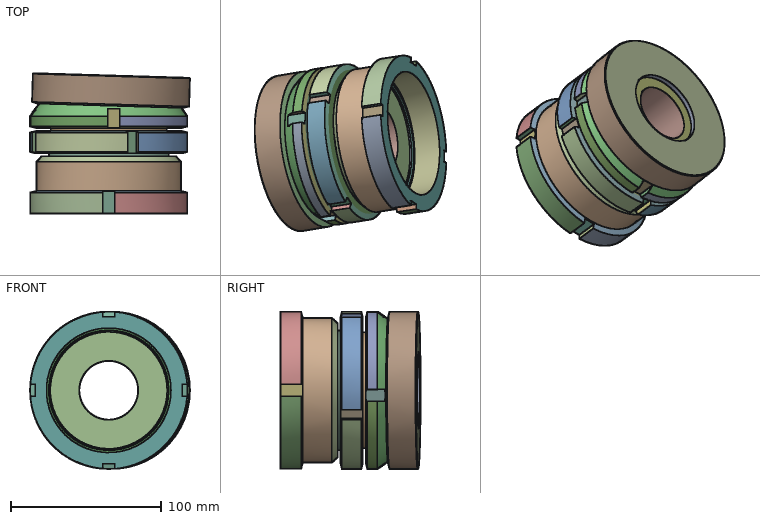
import cadquery as cq
import math


rim_radius = 52.5
rim_height = 15.0
edge_fall = 1.1
edge_width = edge_fall / math.tan(math.radians(15))
thread_radius = 40.0

slot_count = 4
slot_width = 8.0
ring_slot_width = 7.0
slot_depth = 3.5
ring_slot_angle = 18.0
spindle_slot_angle = 3.8

base_height = 38.3
base_body_radius = 48.2
base_cone_start = 34.5
base_top_radius = 44.7
counterbore_radius = 41.5
counterbore_depth = 18.2
lip_radius = 38.9
lip_chamfer = thread_radius - lip_radius
spindle_start = 20.6

ring_start = 40.0
ring_end = ring_start + rim_height

bore_radius = 19.5
relief_radius = 38.7
flange_start = 57.0
flange_end = 64.6
dome_radius = 61.2
dome_center = flange_end - math.sqrt(dome_radius**2 - rim_radius**2)
dome_top = 87.3

washer_start = 71.8
washer_end = 92.1
washer_edge_chamfer = 0.5
washer_bore_radius = 25.6
washer_tilt = 1.7


def dome_height(radius):
    """Y position of the dome surface at a given radius."""
    return dome_center + math.sqrt(dome_radius**2 - radius**2)


def dome_width(height):
    """Radius of the dome surface at a given Y position."""
    return math.sqrt(dome_radius**2 - (height - dome_center) ** 2)


def dome_point(start, end):
    """Point on the dome, halfway in height between two Y positions."""
    middle = (start + end) / 2
    return (dome_width(middle), middle)


def spin(profile):
    """Revolve a closed (radius, Y) profile around the Y axis."""
    return profile.close().revolve(360, (0, 0, 0), (0, 1, 0))


def cut_slots(body, start, end, turn, width):
    """Cut the spanner slots into a rim between two Y positions."""
    floor_radius = rim_radius - slot_depth
    slot = cq.Workplane("XY").box(
        width, end - start, 2 * slot_depth, centered=(True, False, False)
    ).translate((0, start, floor_radius))
    for index in range(slot_count):
        angle = turn + index * 360 / slot_count
        body = body.cut(slot.rotate((0, 0, 0), (0, 1, 0), angle))
    return body


def make_base():
    profile = (
        cq.Workplane("XY")
        .moveTo(counterbore_radius, 0)
        .lineTo(rim_radius, 0)
        .lineTo(rim_radius, rim_height - edge_fall)
        .lineTo(base_body_radius, rim_height)
        .lineTo(base_body_radius, base_cone_start)
        .lineTo(base_top_radius, base_height)
        .lineTo(thread_radius, base_height)
        .lineTo(thread_radius, spindle_start)
        .lineTo(lip_radius, spindle_start)
        .lineTo(lip_radius, counterbore_depth + lip_chamfer)
        .lineTo(thread_radius, counterbore_depth)
        .lineTo(counterbore_radius, counterbore_depth)
    )
    return cut_slots(spin(profile), 0, rim_height, 0, slot_width)


def make_lock_ring():
    profile = (
        cq.Workplane("XY")
        .moveTo(thread_radius, ring_start)
        .lineTo(rim_radius - edge_width, ring_start)
        .lineTo(rim_radius, ring_start + edge_fall)
        .lineTo(rim_radius, ring_end - edge_fall)
        .lineTo(rim_radius - edge_width, ring_end)
        .lineTo(thread_radius, ring_end)
    )
    return cut_slots(spin(profile), ring_start, ring_end, ring_slot_angle, ring_slot_width)


def make_spindle():
    profile = (
        cq.Workplane("XY")
        .moveTo(bore_radius, spindle_start)
        .lineTo(thread_radius, spindle_start)
        .lineTo(thread_radius, ring_end)
        .lineTo(relief_radius, ring_end)
        .lineTo(relief_radius, flange_start)
        .lineTo(rim_radius - edge_width, flange_start)
        .lineTo(rim_radius, flange_start + edge_fall)
        .lineTo(rim_radius, flange_end)
        .threePointArc(dome_point(flange_end, dome_top), (dome_width(dome_top), dome_top))
        .lineTo(bore_radius, dome_top)
    )
    return cut_slots(spin(profile), flange_start, washer_start, spindle_slot_angle, slot_width)


def make_washer():
    seat_end = dome_height(washer_bore_radius)
    profile = (
        cq.Workplane("XY")
        .moveTo(dome_width(washer_start), washer_start)
        .lineTo(rim_radius - edge_width, washer_start)
        .lineTo(rim_radius, washer_start + edge_fall)
        .lineTo(rim_radius, washer_end - washer_edge_chamfer)
        .lineTo(rim_radius - washer_edge_chamfer, washer_end)
        .lineTo(washer_bore_radius, washer_end)
        .lineTo(washer_bore_radius, seat_end)
        .threePointArc(dome_point(washer_start, seat_end), (dome_width(washer_start), washer_start))
    )
    pivot = (0, dome_center, 0)
    return spin(profile).rotate(pivot, (0, dome_center, 1), -washer_tilt)


base = make_base()
lock_ring = make_lock_ring()
spindle = make_spindle()
washer = make_washer()

bodies = [base, lock_ring, spindle, washer]
result = cq.Compound.makeCompound([body.solids().val() for body in bodies])